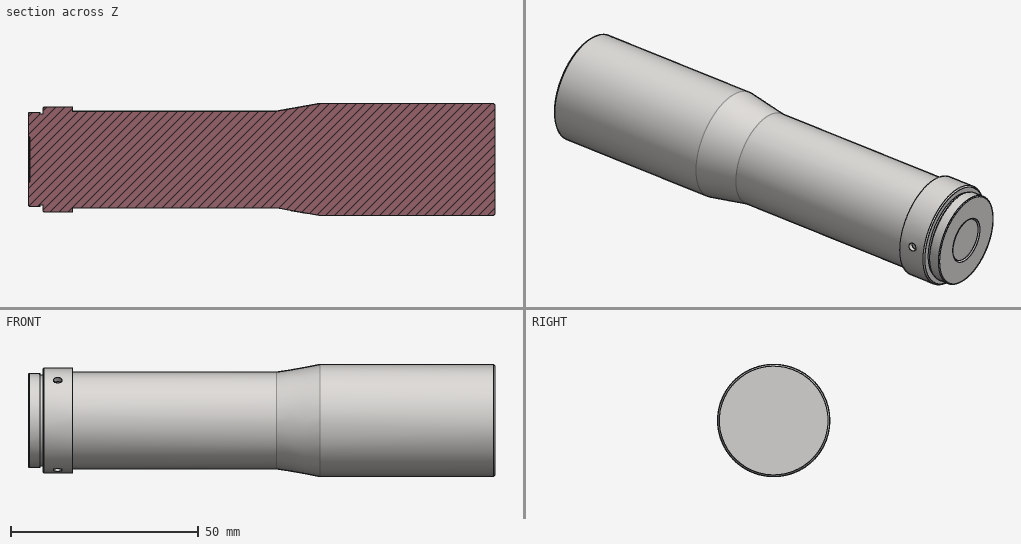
import cadquery as cq

length = 124.6
barrel_radius = 15.02

nose_radius = 12.6
nose_length = 3.1
nose_chamfer = 0.2
neck_radius = 12.2
recess_radius = 6.2
recess_depth = 0.4

collar_start = 3.9
collar_end = 11.8
collar_radius = 14.1
collar_chamfer = 0.4
screw_count = 3
screw_first_angle = 50.0
screw_diameter = 2.2
screw_depth = 1.5
screw_position = (collar_start + collar_end) / 2

tube_radius = 13.0
flare_start = 66.3
flare_end = 77.9
barrel_chamfer = 0.5


def turned_body():
    """Revolve the stepped half-profile about the X axis."""
    profile = (
        cq.Workplane("XY")
        .moveTo(0, 0)
        .lineTo(0, nose_radius - nose_chamfer)
        .lineTo(nose_chamfer, nose_radius)
        .lineTo(nose_length, nose_radius)
        .lineTo(nose_length, neck_radius)
        .lineTo(collar_start, neck_radius)
        .lineTo(collar_start, collar_radius - collar_chamfer)
        .lineTo(collar_start + collar_chamfer, collar_radius)
        .lineTo(collar_end, collar_radius)
        .lineTo(collar_end, tube_radius)
        .lineTo(flare_start, tube_radius)
        .lineTo(flare_end, barrel_radius)
        .lineTo(length - barrel_chamfer, barrel_radius)
        .lineTo(length, barrel_radius - barrel_chamfer)
        .lineTo(length, 0)
        .close()
    )
    return profile.revolve(360, (0, 0, 0), (1, 0, 0))


def nose_recess():
    """Shallow recess in the nose face with a 45 degree wall."""
    profile = (
        cq.Workplane("XY")
        .moveTo(0, 0)
        .lineTo(0, recess_radius)
        .lineTo(recess_depth, recess_radius - recess_depth)
        .lineTo(recess_depth, 0)
        .close()
    )
    return profile.revolve(360, (0, 0, 0), (1, 0, 0))


def screw_hole(angle):
    """Blind radial hole, turned about X from the -Y direction towards +Z."""
    hole = (
        cq.Workplane("XZ", origin=(screw_position, 0, 0))
        .workplane(offset=collar_radius - screw_depth)
        .circle(screw_diameter / 2)
        .extrude(2 * screw_depth)
    )
    return hole.rotate((0, 0, 0), (1, 0, 0), -angle)


result = turned_body().cut(nose_recess())
for index in range(screw_count):
    result = result.cut(screw_hole(screw_first_angle + index * 360 / screw_count))